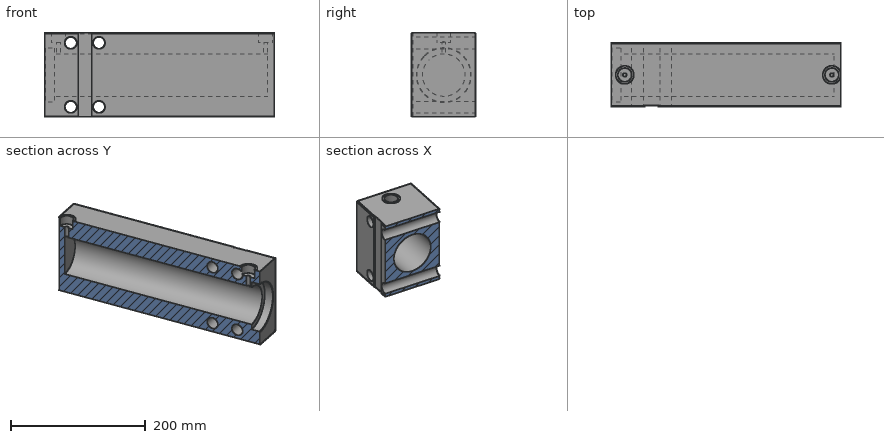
import cadquery as cq

LENGTH = 341.0
WIDTH = 95.0
HEIGHT = 125.0
EDGE_CHAMFER = 1.5

BORE_DIAMETER = 63.0
BORE_END_WALL = 10.2
MOUTH_DIAMETER = 80.0
MOUTH_DEPTH = 14.0
MOUTH_CHAMFER = 0.7

PORT_POSITIONS = (20.0, 327.7)
SPOTFACE_DIAMETER = 27.0
SPOTFACE_DEPTH = 0.2
PORT_DIAMETER = 20.5
PORT_DEPTH = 14.0
FEED_DIAMETER = 5.5

SLOT_CENTER = 59.7
SLOT_WIDTH = 20.5
SLOT_DEPTH = 2.0
MOUNT_DIAMETER = 17.5
MOUNT_SPACING_X = 42.0
MOUNT_SPACING_Z = 95.0

TOP = HEIGHT / 2
FRONT = -WIDTH / 2


def block():
    body = cq.Workplane("XY").box(LENGTH, WIDTH, HEIGHT).translate((LENGTH / 2, 0, 0))
    return body.edges("|X").chamfer(EDGE_CHAMFER)


def stepped_bore():
    bore_length = LENGTH - BORE_END_WALL
    bore = cq.Workplane("YZ").circle(BORE_DIAMETER / 2).extrude(bore_length)
    mouth = cq.Workplane("YZ").circle(MOUTH_DIAMETER / 2).extrude(MOUTH_DEPTH)
    mouth_rim = (
        cq.Workplane("YZ")
        .circle(MOUTH_DIAMETER / 2 + MOUTH_CHAMFER)
        .workplane(offset=MOUTH_CHAMFER)
        .circle(MOUTH_DIAMETER / 2)
        .loft()
    )
    return bore.union(mouth).union(mouth_rim)


def port(x):
    """Spotfaced port whose narrow feed hole runs down into the bore."""
    def drill(diameter, depth):
        return cq.Workplane("XY", origin=(x, 0, TOP)).circle(diameter / 2).extrude(-depth)

    spotface = drill(SPOTFACE_DIAMETER, SPOTFACE_DEPTH)
    return spotface.union(drill(PORT_DIAMETER, PORT_DEPTH)).union(drill(FEED_DIAMETER, TOP))


def key_slot():
    return cq.Workplane("XY").box(SLOT_WIDTH, 2 * SLOT_DEPTH, HEIGHT).translate((SLOT_CENTER, FRONT, 0))


def mounting_holes():
    return (
        cq.Workplane("XZ", origin=(SLOT_CENTER, FRONT, 0))
        .rarray(MOUNT_SPACING_X, MOUNT_SPACING_Z, 2, 2)
        .circle(MOUNT_DIAMETER / 2)
        .extrude(-WIDTH)
    )


result = block().cut(stepped_bore()).cut(key_slot()).cut(mounting_holes())
for port_x in PORT_POSITIONS:
    result = result.cut(port(port_x))